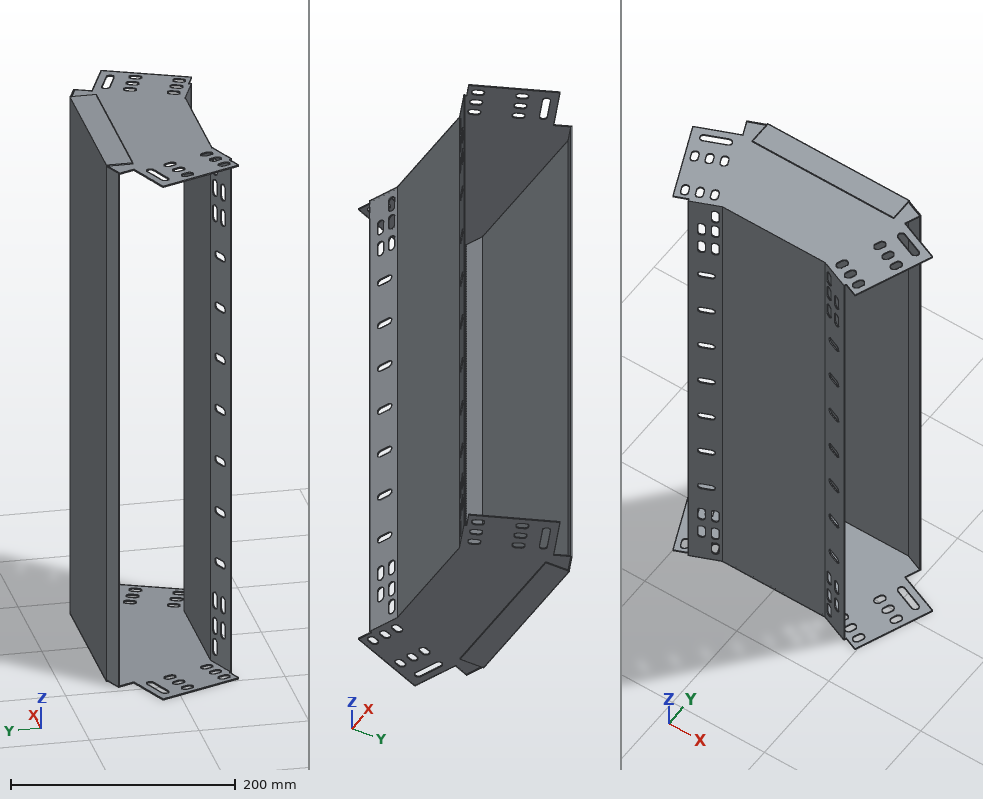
import cadquery as cq
import math


total_length = 503.0
sheet = 1.2
tray_depth = 100.5
wing_angle = 22.5
channel_length = total_length - 2 * sheet

front_half_width = 56.0
flange_width = 31.0
tab_reach = 46.0
tab_inset = 2.5
tab_width = 82.0
back_half_width = 77.0
cover_wing_width = 19.0
lip_depth = 24.0

slot_width = 7.0
flange_slot_length = 16.0
tab_slot_length = 11.5
long_slot_length = 29.5

inner_column = 6.5
outer_column = 19.0
cross_slot_column = 14.5
cross_slot_count = 7
cross_slot_pitch = 50.0
inner_only_height = 234.0
paired_heights = (213.5, 188.5)

tab_slot_columns = (9.5, 23.0, 36.5)
tab_slot_rows = (12.0, 52.0)
long_slot_place = (22.0, 74.0)

SLOPE_COS = math.cos(math.radians(wing_angle))
SLOPE_SIN = math.sin(math.radians(wing_angle))
MITRE = sheet * math.tan(math.radians(wing_angle / 2))
SIDES = (-1, 1)


def tilted_point(bend_x, bend_y, along, across):
    """Right-hand XY point: 'along' down the slope from a bend, 'across' square to it, towards the back."""
    return (
        bend_x + along * SLOPE_COS + across * SLOPE_SIN,
        bend_y - along * SLOPE_SIN + across * SLOPE_COS,
    )


def symmetric_prism(right_points, height):
    """Prism centred on Z from the right half of an outline, ordered from front to back."""
    left_points = [(-x, y) for x, y in reversed(right_points)]
    return cq.Workplane("XY").polyline(right_points + left_points).close().extrude(height / 2, both=True)


def front_sheet():
    return symmetric_prism(
        [
            (front_half_width, 0),
            tilted_point(front_half_width, 0, flange_width, 0),
            tilted_point(front_half_width, 0, flange_width, sheet),
            (front_half_width + MITRE, sheet),
        ],
        channel_length,
    )


def end_plates():
    """Both end plates, with a tab on each side and a notch between the tab and the cover wing."""
    wing_end = tilted_point(back_half_width, tray_depth, cover_wing_width, -sheet)
    wing_end_along = (wing_end[0] - front_half_width) * SLOPE_COS - wing_end[1] * SLOPE_SIN
    tab_back = tab_inset + tab_width
    bottom_plate = symmetric_prism(
        [
            (front_half_width + MITRE, sheet),
            tilted_point(front_half_width, 0, flange_width, sheet),
            tilted_point(front_half_width, 0, flange_width, tab_inset),
            tilted_point(front_half_width, 0, tab_reach, tab_inset),
            tilted_point(front_half_width, 0, tab_reach, tab_back),
            tilted_point(front_half_width, 0, wing_end_along, tab_back),
            wing_end,
            (back_half_width - MITRE, tray_depth - sheet),
        ],
        sheet,
    ).translate((0, 0, (sheet - channel_length) / 2))
    return bottom_plate.union(bottom_plate.mirror("XY"))


def flange_slots(side):
    """Cutters for the slots of one flange; side is -1 for left and 1 for right."""
    flange_plane = cq.Plane(
        origin=(side * front_half_width, 0, 0),
        xDir=(side * SLOPE_COS, -SLOPE_SIN, 0),
        normal=(side * SLOPE_SIN, SLOPE_COS, 0),
    )
    lengthwise_places = []
    for end in SIDES:
        lengthwise_places.append((inner_column, end * inner_only_height))
        for height in paired_heights:
            lengthwise_places.append((inner_column, end * height))
            lengthwise_places.append((outer_column, end * height))
    middle = (cross_slot_count - 1) / 2
    cross_places = [(cross_slot_column, (i - middle) * cross_slot_pitch) for i in range(cross_slot_count)]

    cut_depth = 2 * sheet
    lengthwise = (cq.Workplane(flange_plane).pushPoints(lengthwise_places)
                  .slot2D(flange_slot_length, slot_width, 90).extrude(cut_depth, both=True))
    crosswise = (cq.Workplane(flange_plane).pushPoints(cross_places)
                 .slot2D(flange_slot_length, slot_width, 0).extrude(cut_depth, both=True))
    return lengthwise.union(crosswise)


def tab_slots(side):
    """Cutters through both end plates for the slots of the tabs on one side."""
    def place(along, across):
        x, y = tilted_point(front_half_width, 0, along, across)
        return (side * x, y)

    short_places = [place(along, across) for along in tab_slot_columns for across in tab_slot_rows]
    slope_direction = -side * wing_angle
    short = (cq.Workplane("XY").pushPoints(short_places)
             .slot2D(tab_slot_length, slot_width, slope_direction + 90).extrude(total_length, both=True))
    long = (cq.Workplane("XY").pushPoints([place(*long_slot_place)])
            .slot2D(long_slot_length, slot_width, slope_direction).extrude(total_length, both=True))
    return short.union(long)


def make_channel():
    channel = front_sheet().union(end_plates())
    for side in SIDES:
        channel = channel.cut(flange_slots(side)).cut(tab_slots(side))
    return channel


def make_cover():
    cover = symmetric_prism(
        [
            (back_half_width - MITRE, tray_depth - sheet),
            tilted_point(back_half_width, tray_depth, cover_wing_width, -sheet),
            tilted_point(back_half_width, tray_depth, cover_wing_width, 0),
            (back_half_width, tray_depth),
        ],
        channel_length,
    )
    for end in SIDES:
        lip = cq.Workplane("XY").box(2 * back_half_width, lip_depth, sheet).translate(
            (0, tray_depth - lip_depth / 2, end * (total_length - sheet) / 2))
        cover = cover.union(lip)
    return cover


channel = make_channel()
cover = make_cover()

result = cq.Compound.makeCompound([channel.solids().val(), cover.solids().val()])